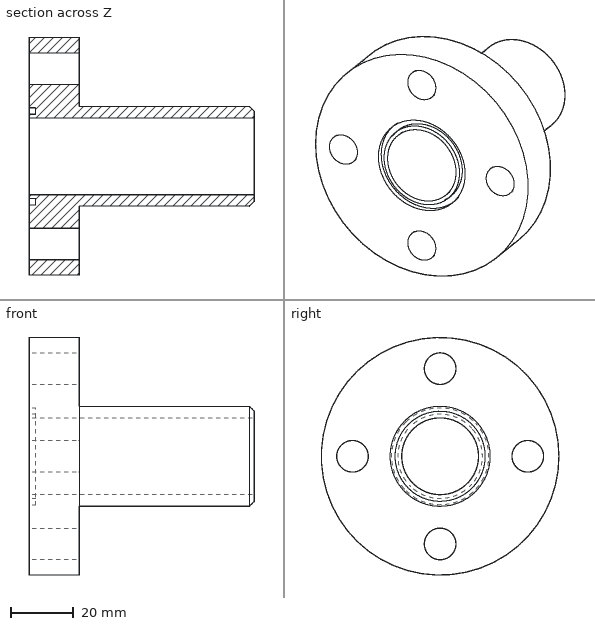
import cadquery as cq

flange_diameter = 76.0
flange_thickness = 16.0
overall_length = 72.0
barrel_diameter = 32.0
barrel_chamfer = 1.6
bore_diameter = 24.5

bolt_hole_count = 4
bolt_hole_diameter = 10.0
bolt_circle_diameter = 56.0

groove_outer_diameter = 31.0
groove_inner_diameter = 27.0
groove_depth = 2.0


def make_body():
    """Flange at X = 0 with a barrel whose free end is chamfered."""
    flange = cq.Workplane("YZ").circle(flange_diameter / 2).extrude(flange_thickness)
    barrel = (
        cq.Workplane("YZ")
        .circle(barrel_diameter / 2)
        .extrude(overall_length)
        .faces(">X")
        .chamfer(barrel_chamfer)
    )
    return flange.union(barrel)


def make_bore():
    return cq.Workplane("YZ").circle(bore_diameter / 2).extrude(overall_length)


def make_bolt_holes():
    return (
        cq.Workplane("YZ")
        .polarArray(bolt_circle_diameter / 2, 0, 360, bolt_hole_count)
        .circle(bolt_hole_diameter / 2)
        .extrude(flange_thickness)
    )


def make_face_groove():
    return (
        cq.Workplane("YZ")
        .circle(groove_outer_diameter / 2)
        .circle(groove_inner_diameter / 2)
        .extrude(groove_depth)
    )


result = make_body().cut(make_bore()).cut(make_bolt_holes()).cut(make_face_groove())